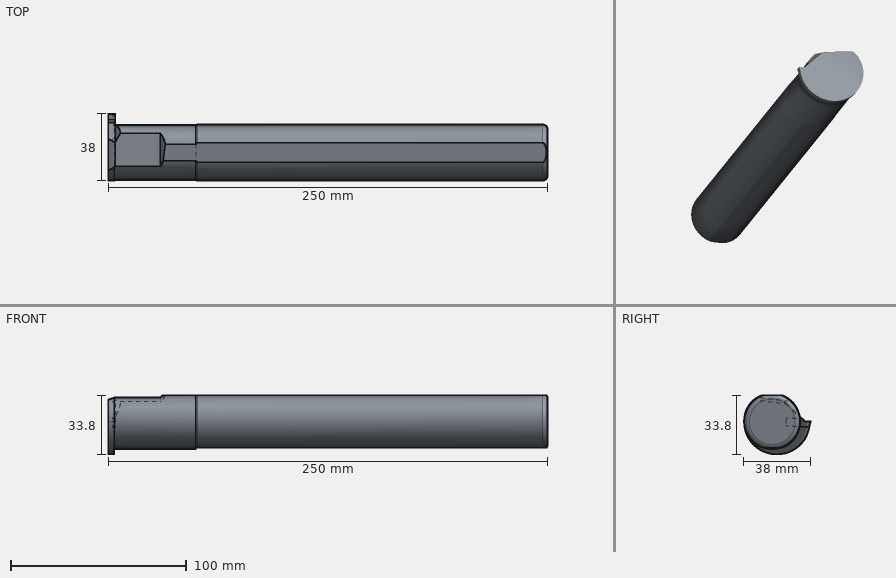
import cadquery as cq
import math

LENGTH = 250.0
SHANK_RADIUS = 16.0
SHANK_FLAT_HEIGHT = 15.0
SHANK_END_ROUND = 3.0
NECK_RADIUS = 15.8
NECK_END = 50.0
NECK_TAPER_LENGTH = 0.8

PLATE_THICKNESS = 3.5
PLATE_RADIUS = 18.8
PLATE_OFFSET = PLATE_RADIUS - SHANK_RADIUS

RELIEF_TILT = 7.0
RELIEF_HEIGHT = 12.8
RELIEF_FRONT_LENGTH = 4.0
RELIEF_FRONT_DROP = 1.62
RELIEF_FLOOR_END = 29.8

CLEARANCE_ANGLE = 43.0
CLEARANCE_DISTANCE = 12.8
CLEARANCE_LENGTH = 4.0

INSERT_WIDTH = 4.2
TIP_Y = 22.0
TIP_HEEL_Y = 21.0
TIP_HEEL_Z = -3.2
RAKE_INNER_Y = 18.8
SEAT_OUTER_Y = 17.2
SEAT_OUTER_Z = 1.62
SEAT_INNER_Y = 7.8
SEAT_INNER_HALF_HEIGHT = 2.2

CUT_SIZE = 100.0


def make_bar_blank():
    """Stepped round bar, rounded at the far end."""
    profile = [
        (0, 0),
        (0, NECK_RADIUS),
        (NECK_END, NECK_RADIUS),
        (NECK_END + NECK_TAPER_LENGTH, SHANK_RADIUS),
        (LENGTH, SHANK_RADIUS),
        (LENGTH, 0),
    ]
    bar = cq.Workplane("XY").polyline(profile).close().revolve(360, (0, 0, 0), (1, 0, 0))
    return bar.faces(">X").edges().fillet(SHANK_END_ROUND)


def make_flat_cutter(start, side):
    """Block outside one shank flat, above (side = 1) or below (side = -1) the axis."""
    return cq.Workplane("XY").box(LENGTH, CUT_SIZE, CUT_SIZE, centered=(False, True, True)).translate(
        (start, 0, side * (SHANK_FLAT_HEIGHT + CUT_SIZE / 2))
    )


def make_plate():
    """Front plate: offset half disc below, shank-sized quarter and square corner above."""
    outer_y = PLATE_OFFSET + PLATE_RADIUS
    arc_middle = SHANK_RADIUS * math.sqrt(0.5)
    return (
        cq.Workplane("YZ")
        .moveTo(-SHANK_RADIUS, 0)
        .threePointArc((PLATE_OFFSET, -PLATE_RADIUS), (outer_y, 0))
        .lineTo(outer_y, SHANK_RADIUS)
        .lineTo(0, SHANK_RADIUS)
        .threePointArc((-arc_middle, arc_middle), (-SHANK_RADIUS, 0))
        .close()
        .extrude(PLATE_THICKNESS)
    )


def make_relief_cutter():
    """Relief with a falling front edge, a flat floor and a 45 degree run-out, tilted about X."""
    profile = [
        (0, -RELIEF_FRONT_DROP),
        (RELIEF_FRONT_LENGTH, 0),
        (RELIEF_FLOOR_END, 0),
        (RELIEF_FLOOR_END + CUT_SIZE, CUT_SIZE),
        (0, CUT_SIZE),
    ]
    cutter = cq.Workplane("XZ").polyline(profile).close().extrude(CUT_SIZE / 2, both=True)
    return cutter.rotate((0, 0, 0), (1, 0, 0), -RELIEF_TILT).translate((0, 0, RELIEF_HEIGHT))


def make_clearance_cutter():
    """Sloping clearance that runs out of the neck at 45 degrees."""
    profile = [
        (0, CLEARANCE_DISTANCE),
        (CLEARANCE_LENGTH, CLEARANCE_DISTANCE),
        (CLEARANCE_LENGTH + CUT_SIZE, CLEARANCE_DISTANCE + CUT_SIZE),
        (0, CLEARANCE_DISTANCE + CUT_SIZE),
    ]
    cutter = cq.Workplane("XZ").polyline(profile).close().extrude(CUT_SIZE / 2, both=True)
    return cutter.rotate((0, 0, 0), (1, 0, 0), -CLEARANCE_ANGLE)


def make_insert():
    """Cutting insert: a tapered tip with its edge at axis height and a root set in the head."""
    outline = [
        (TIP_Y, 0),
        (RAKE_INNER_Y, 0),
        (SEAT_OUTER_Y, SEAT_OUTER_Z),
        (SEAT_INNER_Y, SEAT_INNER_HALF_HEIGHT),
        (SEAT_INNER_Y, -SEAT_INNER_HALF_HEIGHT),
        (TIP_HEEL_Y, TIP_HEEL_Z),
    ]
    return cq.Workplane("YZ").polyline(outline).close().extrude(INSERT_WIDTH)


def make_holder(insert):
    """Boring bar with its head shaped and a seat that matches the insert."""
    holder = make_bar_blank().cut(make_flat_cutter(NECK_END, -1))
    holder = holder.union(make_plate())
    holder = holder.cut(make_flat_cutter(0, 1))
    holder = holder.cut(make_relief_cutter())
    holder = holder.cut(make_clearance_cutter())
    return holder.cut(insert)


insert = make_insert()
holder = make_holder(insert)

result = cq.Compound.makeCompound([holder.val(), insert.val()])